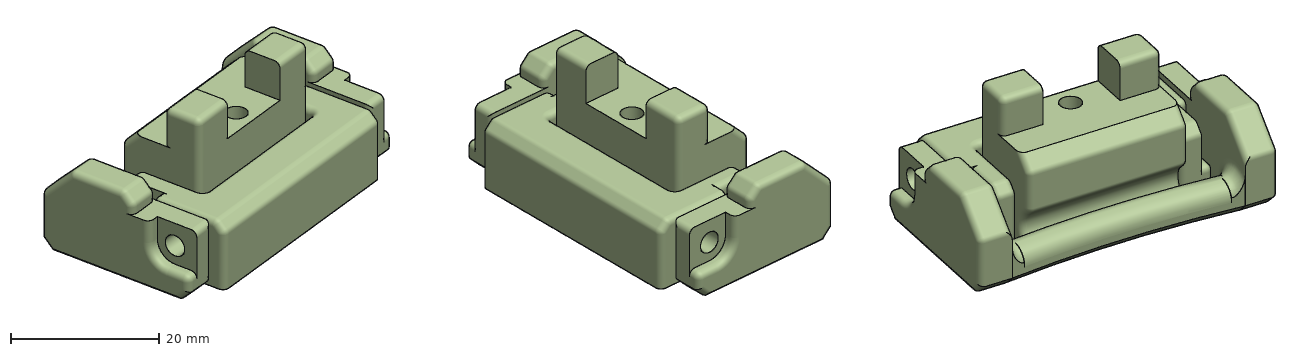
import cadquery as cq
import math

TOTAL_LENGTH = 46.6
EDGE_RADIUS = 1.0
CORNER_CHAMFER = 1.5
STEP_Z = 10.55
PIVOT_Z = 7.0
RECESS_DEPTH = 1.8
CLEARANCE = 0.3

CHEEK_THICKNESS = 5.13
CHEEK_LENGTH = 24.55
CHEEK_TOP_Z = 13.75
CHEEK_SLOPE = 5.0
CHEEK_STEP_X = 15.25
CHEEK_STEP_CHAMFER = 1.72
CHEEK_BOTTOM_CHAMFER = 0.45
CHEEK_PIVOT_X = 20.92
CHEEK_RECESS_RADIUS = 2.95
PIVOT_DIAMETER = 3.2
CHEEK_OUTER_Y = TOTAL_LENGTH / 2
CHEEK_INNER_Y = CHEEK_OUTER_Y - CHEEK_THICKNESS
BAR_RADIUS = 2.5
BAR_MIDDLE_X = 1.0
BAR_END_X = 2.6
BAR_BOW_RADIUS = 172.4
FLARE_RADIUS = 2.0

BRACKET_LEFT_X = 8.0
BRACKET_RIGHT_X = 26.55
BRACKET_WALL_X = 19.45
BRACKET_PIVOT_X = 11.45
BRACKET_RECESS_RADIUS = 3.15
BRACKET_ARM = 5.13
BRACKET_OUTER_Y = CHEEK_INNER_Y - CLEARANCE
BRACKET_INNER_Y = BRACKET_OUTER_Y - BRACKET_ARM
TONGUE_Y = BRACKET_OUTER_Y - RECESS_DEPTH

BLOCK_HALF_WIDTH = BRACKET_INNER_Y - CLEARANCE
BLOCK_LEFT_X = 5.5
BLOCK_RIGHT_X = 18.45
BLOCK_TOP_Z = 15.3
BLOCK_SLOPE = 2.15
GROOVE_RADIUS = 2.8
GROOVE_X = 4.7
GROOVE_Z = 3.85
POST_LEFT_X = 12.6
POST_LENGTH = 6.5
POST_TOP_Z = 21.25
HOLE_X = 15.5
HOLE_DIAMETER = 3.2

TOLERANCE = 0.025


def box_between(x0, x1, y0, y1, z0, z1):
    size_x, size_y, size_z = x1 - x0, y1 - y0, z1 - z0
    return cq.Workplane().box(size_x, size_y, size_z, centered=False).translate((x0, y0, z0))


def side_profile(points):
    return cq.Workplane("XZ").polyline(points).close()


def near(value, target):
    return abs(value - target) < TOLERANCE


def round_edges(body, wanted, radius=EDGE_RADIUS):
    """Fillet the edges whose bounding box passes the test `wanted`."""
    edges = [edge for edge in body.edges().vals() if wanted(edge.BoundingBox())]
    return body.newObject(edges).fillet(radius)


def along_y(box):
    return not near(box.ylen, 0) and near(box.xlen, 0) and near(box.zlen, 0)


def in_plane_y(box, y):
    return near(box.ymin, y) and near(box.ymax, y)


def recess(pivot_x, radius, direction, outer_y):
    """Cutter on a -Y side, open upward and toward `direction`, with one round lower corner.

    The corner arc is centred on the pivot; `far` only carries the cutter clear of the body.
    """
    far = BRACKET_RIGHT_X
    wall_x = pivot_x - direction * radius
    end_x = pivot_x + direction * far
    floor_z = PIVOT_Z - radius
    diagonal = radius * math.sqrt(0.5)
    return (
        cq.Workplane("XZ", origin=(0, -outer_y + RECESS_DEPTH, 0))
        .moveTo(wall_x, far)
        .lineTo(wall_x, PIVOT_Z)
        .threePointArc((pivot_x - direction * diagonal, PIVOT_Z - diagonal), (pivot_x, floor_z))
        .lineTo(end_x, floor_z)
        .lineTo(end_x, far)
        .close()
        .extrude(far)
    )


def cheek_outline():
    return side_profile([
        (CORNER_CHAMFER, 0),
        (CHEEK_LENGTH - CORNER_CHAMFER, 0),
        (CHEEK_LENGTH, CORNER_CHAMFER),
        (CHEEK_LENGTH, STEP_Z),
        (CHEEK_STEP_X, STEP_Z),
        (CHEEK_STEP_X, CHEEK_TOP_Z - CHEEK_STEP_CHAMFER),
        (CHEEK_STEP_X - CHEEK_STEP_CHAMFER, CHEEK_TOP_Z),
        (CHEEK_SLOPE, CHEEK_TOP_Z),
        (0, CHEEK_TOP_Z - CHEEK_SLOPE),
        (0, CORNER_CHAMFER),
    ])


def cheek_edge_is_round(box):
    if along_y(box):
        above_step = box.zmin > PIVOT_Z and not near(box.zmin, STEP_Z)
        end_face = near(box.xmin, CHEEK_LENGTH) and box.zmin > CORNER_CHAMFER + TOLERANCE
        return above_step or end_face
    level = near(box.zlen, 0)
    if level and (near(box.zmin, 0) or near(box.zmin, STEP_Z)):
        return False
    if in_plane_y(box, -CHEEK_INNER_Y):
        return box.xmin > TOLERANCE or box.zmin > PIVOT_Z
    return in_plane_y(box, -CHEEK_OUTER_Y)


def make_cheek():
    """The cheek on the -Y side, its outer face at -CHEEK_OUTER_Y."""
    cheek = cheek_outline().extrude(CHEEK_THICKNESS).translate((0, -CHEEK_INNER_Y, 0))
    cheek = cheek.cut(recess(CHEEK_PIVOT_X, CHEEK_RECESS_RADIUS, 1, CHEEK_OUTER_Y))
    cheek = round_edges(cheek, cheek_edge_is_round)
    bevel = (
        cq.Workplane("YZ")
        .polyline([
            (-CHEEK_OUTER_Y, 0),
            (-CHEEK_OUTER_Y + CHEEK_BOTTOM_CHAMFER, 0),
            (-CHEEK_OUTER_Y, CHEEK_BOTTOM_CHAMFER),
        ])
        .close()
        .extrude(CHEEK_LENGTH)
    )
    pivot_hole = (
        cq.Workplane("XZ", origin=(CHEEK_PIVOT_X, -CHEEK_INNER_Y, PIVOT_Z))
        .circle(PIVOT_DIAMETER / 2)
        .extrude(CHEEK_THICKNESS)
    )
    return cheek.cut(bevel).cut(pivot_hole)


def make_bar():
    """Round-topped bar, bowed toward +X at mid length."""
    left = BAR_MIDDLE_X
    right = BAR_MIDDLE_X + 2 * BAR_RADIUS
    section = (
        cq.Workplane("XZ")
        .moveTo(left + CORNER_CHAMFER, 0)
        .lineTo(right, 0)
        .lineTo(right, BAR_RADIUS)
        .threePointArc((left + BAR_RADIUS, 2 * BAR_RADIUS), (left, BAR_RADIUS))
        .lineTo(left, CORNER_CHAMFER)
        .close()
    )
    axis_x = left - BAR_BOW_RADIUS
    ring = section.revolve(360, (axis_x, 0, 0), (axis_x, 1, 0))
    room = box_between(0, CHEEK_LENGTH, -CHEEK_INNER_Y, CHEEK_INNER_Y, 0, CHEEK_TOP_Z)
    return ring.intersect(room)


def make_flare():
    """Trumpet-shaped root of the bar on the -Y cheek, trimmed to the cheek outline."""
    root_y = -CHEEK_INNER_Y
    sag = FLARE_RADIUS * (1 - math.sqrt(0.5))
    trumpet = (
        cq.Workplane("XY")
        .moveTo(0, root_y)
        .lineTo(BAR_RADIUS + FLARE_RADIUS, root_y)
        .threePointArc((BAR_RADIUS + sag, root_y + sag), (BAR_RADIUS, root_y + FLARE_RADIUS))
        .lineTo(0, root_y + FLARE_RADIUS)
        .close()
        .revolve(360, (0, 0, 0), (0, 1, 0))
        .translate((BAR_END_X, 0, BAR_RADIUS))
    )
    flat_side = box_between(0, BAR_END_X, -CHEEK_INNER_Y, 0, 0, BAR_RADIUS)
    bow = cq.Workplane().center(BAR_MIDDLE_X - BAR_BOW_RADIUS, 0).circle(BAR_BOW_RADIUS).extrude(CHEEK_TOP_Z)
    return trumpet.intersect(cheek_outline().extrude(CHEEK_OUTER_Y)).cut(flat_side).cut(bow)


def make_frame():
    side = make_cheek().union(make_flare())
    return make_bar().union(side).union(side.mirror("XZ"))


def bracket_edge_is_round(box):
    """The +Y recess keeps a sharp rim and a round-topped tongue; the -Y recess has a round rim."""
    if near(box.zmax, 0):
        return False
    if along_y(box):
        recess_wall = near(box.xmin, BRACKET_PIVOT_X + BRACKET_RECESS_RADIUS)
        upper = box.zmin > PIVOT_Z and not (recess_wall and box.ymin > 0)
        recess_floor = near(box.zmin, PIVOT_Z - BRACKET_RECESS_RADIUS)
        floor_lip = recess_floor and near(box.xmin, BRACKET_LEFT_X) and box.ymax < 0
        return upper or floor_lip
    in_opening = max(-box.ymin, box.ymax) < BRACKET_INNER_Y + TOLERANCE
    arm_end = near(box.xmax, BRACKET_LEFT_X)
    if in_opening:
        upright = near(box.xlen, 0) and near(box.ylen, 0)
        return arm_end or not upright
    if in_plane_y(box, -BRACKET_OUTER_Y):
        return True
    if in_plane_y(box, TONGUE_Y):
        return arm_end or box.zmin > STEP_Z - CORNER_CHAMFER - TOLERANCE
    if in_plane_y(box, BRACKET_OUTER_Y):
        return arm_end or near(box.zmin, STEP_Z) or near(box.xmax, BRACKET_RIGHT_X)
    return False


def make_bracket():
    profile = side_profile([
        (BRACKET_LEFT_X, 0),
        (BRACKET_RIGHT_X, 0),
        (BRACKET_RIGHT_X, STEP_Z - CORNER_CHAMFER),
        (BRACKET_RIGHT_X - CORNER_CHAMFER, STEP_Z),
        (BRACKET_LEFT_X + CORNER_CHAMFER, STEP_Z),
        (BRACKET_LEFT_X, STEP_Z - CORNER_CHAMFER),
    ])
    bracket = profile.extrude(BRACKET_OUTER_Y, both=True)
    opening = box_between(0, BRACKET_WALL_X, -BRACKET_INNER_Y, BRACKET_INNER_Y, 0, STEP_Z)
    opening = opening.edges("|Z and >X").fillet(EDGE_RADIUS)
    side_recess = recess(BRACKET_PIVOT_X, BRACKET_RECESS_RADIUS, -1, BRACKET_OUTER_Y)
    bracket = bracket.cut(opening).cut(side_recess).cut(side_recess.mirror("XZ"))
    return round_edges(bracket, bracket_edge_is_round)


def block_edge_is_round(box):
    if along_y(box):
        return near(box.zmin, POST_TOP_Z) or near(box.xmin, BLOCK_LEFT_X)
    level = near(box.zlen, 0) and (near(box.zmin, 0) or near(box.zmin, BLOCK_TOP_Z))
    return not level


def make_block():
    diagonal = GROOVE_RADIUS * math.sqrt(0.5)
    groove_edge_x = GROOVE_X + diagonal
    overhang = groove_edge_x - BLOCK_LEFT_X
    profile = (
        cq.Workplane("XZ")
        .moveTo(BLOCK_RIGHT_X, 0)
        .lineTo(BLOCK_RIGHT_X, POST_TOP_Z)
        .lineTo(POST_LEFT_X, POST_TOP_Z)
        .lineTo(POST_LEFT_X, BLOCK_TOP_Z)
        .lineTo(BLOCK_LEFT_X + BLOCK_SLOPE, BLOCK_TOP_Z)
        .lineTo(BLOCK_LEFT_X, BLOCK_TOP_Z - BLOCK_SLOPE)
        .lineTo(BLOCK_LEFT_X, GROOVE_Z + diagonal + overhang)
        .lineTo(groove_edge_x, GROOVE_Z + diagonal)
        .threePointArc((GROOVE_X + GROOVE_RADIUS, GROOVE_Z), (groove_edge_x, GROOVE_Z - diagonal))
        .lineTo(groove_edge_x, 0)
        .close()
    )
    block = profile.extrude(BLOCK_HALF_WIDTH, both=True)
    block = round_edges(block, block_edge_is_round)
    post_gap = BLOCK_HALF_WIDTH - POST_LENGTH
    gap = box_between(0, BLOCK_RIGHT_X, -post_gap, post_gap, BLOCK_TOP_Z, POST_TOP_Z)
    hole = cq.Workplane().center(HOLE_X, 0).circle(HOLE_DIAMETER / 2).extrude(POST_TOP_Z)
    return block.cut(gap).cut(hole)


frame = make_frame()
bracket = make_bracket()
block = make_block()

result = cq.Compound.makeCompound([body.solids().val() for body in (frame, bracket, block)])